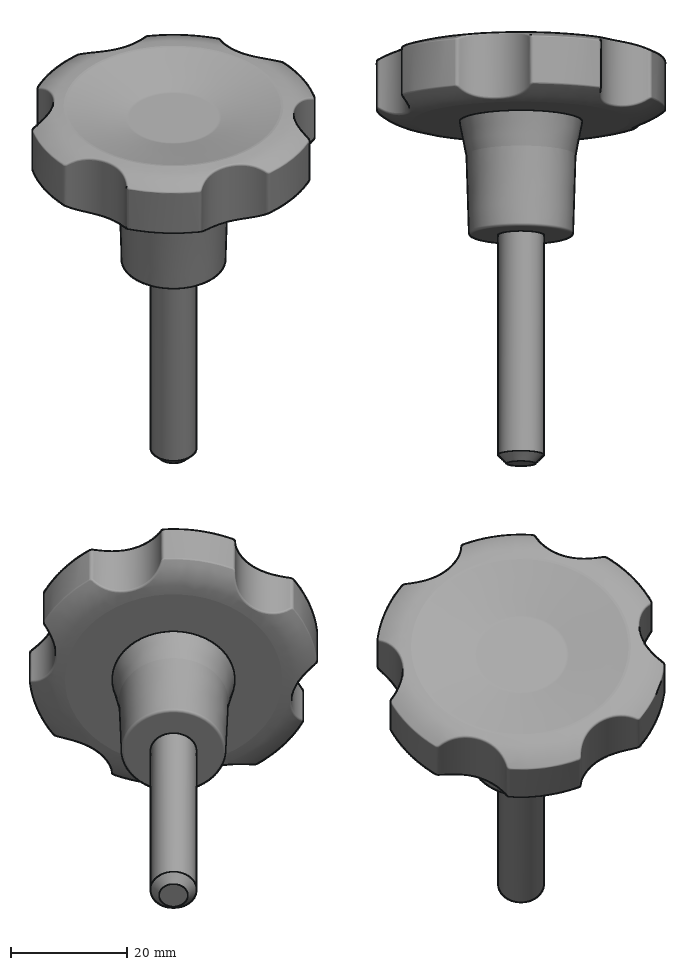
import cadquery as cq
import math

total_height = 72.0
head_height = 12.0
hub_flare_end = 18.0
hub_height = 32.0

head_radius = 24.9
crown_radius = 18.7
top_shoulder_drop = 1.6
bottom_shoulder_rise = 2.15
edge_fillet = 0.35
flat_clearance = 0.1

dish_radius = 18.7
dish_floor_radius = 8.0
dish_depth = 2.45
dish_fillet = 1.8

scallop_count = 6
scallop_radius = 8.0
scallop_floor = 20.8
lobe_corner_fillet = 0.7

hub_top_radius = 10.6
hub_waist_radius = 9.4
hub_bottom_radius = 9.0
hub_fillet = 0.5
rod_diameter = 8.0
rod_chamfer = 1.5


def shoulder_midpoint(drop):
    """Radius and drop halfway along a shoulder arc that is tangent to the flat crown."""
    run = head_radius - crown_radius
    arc_radius = (run**2 + drop**2) / (2 * drop)
    half_angle = math.asin(run / arc_radius) / 2
    radius = crown_radius + arc_radius * math.sin(half_angle)
    return radius, arc_radius * (1 - math.cos(half_angle))


def make_head():
    top_mid_radius, top_mid_drop = shoulder_midpoint(top_shoulder_drop)
    bottom_mid_radius, bottom_mid_rise = shoulder_midpoint(bottom_shoulder_rise)
    head = (
        cq.Workplane("XZ")
        .moveTo(0, -head_height)
        .lineTo(crown_radius, -head_height)
        .threePointArc(
            (bottom_mid_radius, bottom_mid_rise - head_height),
            (head_radius, bottom_shoulder_rise - head_height),
        )
        .lineTo(head_radius, -top_shoulder_drop)
        .threePointArc((top_mid_radius, -top_mid_drop), (crown_radius, 0))
        .lineTo(0, 0)
        .close()
        .revolve(360, (0, 0, 0), (0, 1, 0))
    )
    scallops = (
        cq.Workplane("XY", origin=(0, 0, -head_height))
        .polarArray(scallop_floor + scallop_radius, 90, 360, scallop_count)
        .circle(scallop_radius)
        .extrude(head_height)
    )
    return head.cut(scallops).edges("|Z").fillet(lobe_corner_fillet)


def make_dish():
    return (
        cq.Workplane("XZ")
        .lineTo(dish_radius, 0)
        .lineTo(dish_floor_radius, -dish_depth)
        .lineTo(0, -dish_depth)
        .close()
        .revolve(360, (0, 0, 0), (0, 1, 0))
    )


def make_hub():
    return (
        cq.Workplane("XZ")
        .moveTo(0, -head_height)
        .lineTo(hub_top_radius, -head_height)
        .lineTo(hub_waist_radius, -hub_flare_end)
        .lineTo(hub_bottom_radius, -hub_height)
        .lineTo(0, -hub_height)
        .close()
        .revolve(360, (0, 0, 0), (0, 1, 0))
        .faces("<Z")
        .edges()
        .fillet(hub_fillet)
    )


def make_rod():
    return (
        cq.Workplane("XY", origin=(0, 0, -total_height))
        .circle(rod_diameter / 2)
        .extrude(total_height - hub_height)
        .faces("<Z")
        .chamfer(rod_chamfer)
    )


def soften_grip_edges(head):
    """Round the edges where the domed shoulders meet the lobes and scallops."""
    reach = 2 * head_radius
    between_flats = cq.selectors.BoxSelector(
        (-reach, -reach, -head_height + flat_clearance),
        (reach, reach, -flat_clearance),
    )
    return head.edges(between_flats).edges("not |Z").fillet(edge_fillet)


def soften_dish_edges(head):
    """Round the rim of the dish and the border of its flat floor."""
    reach = dish_radius + flat_clearance
    dish_zone = cq.selectors.BoxSelector(
        (-reach, -reach, -dish_depth - flat_clearance),
        (reach, reach, flat_clearance),
        boundingbox=True,
    )
    return head.edges(dish_zone).edges("%CIRCLE").fillet(dish_fillet)


head = soften_grip_edges(make_head())
head = soften_dish_edges(head.cut(make_dish()))
result = head.union(make_hub()).union(make_rod())